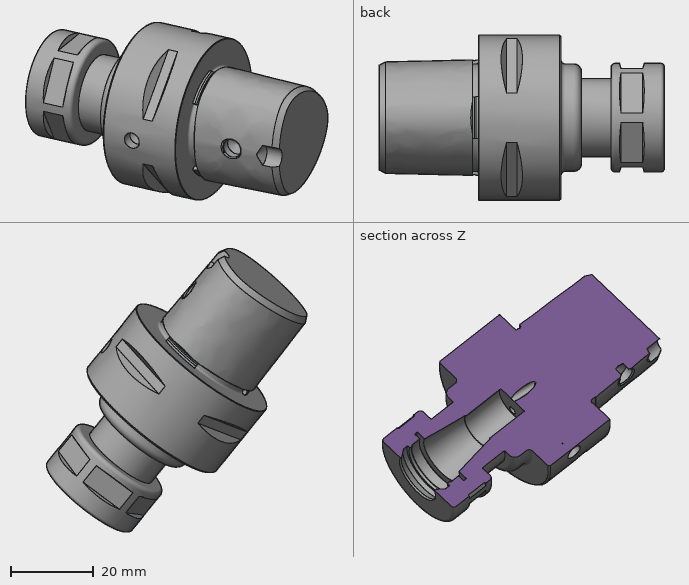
import cadquery as cq
import math

total_length = 69.0
nut_length = 12.9
collar_start = 20.0
flange_start = 25.0
flange_length = 19.95
flange_end = flange_start + flange_length
shank_start = 46.45
shank_chamfer_length = 1.6
shank_chamfer_start = total_length - shank_chamfer_length

nut_radius = 13.2
nut_front_fillet = 0.9
nut_rear_fillet = 1.05
stem_radius = 19.0 / 2
collar_radius = 26.0 / 2
collar_fillet = 1.9
collar_root_fillet = 1.05
flange_radius = 20.0
flange_front_chamfer = 0.4
flange_rear_chamfer = 0.15
relief_radius = 13.05
relief_root_fillet = 0.5

nut_flat_count = 6
nut_flat_first_angle = 0.0
nut_flat_distance = 11.95
nut_flat_center = 7.9
nut_flat_floor = 5.25
nut_flat_mouth = 6.0

flange_groove_count = 4
flange_groove_first_angle = 45.0
flange_groove_distance = 17.7
flange_groove_center = 36.9
flange_groove_floor = 2.5
flange_groove_mouth = 5.2

lobe_count = 3
lobe_height = 0.8
shank_root_radius = 14.0
shank_tip_radius = 13.5
shank_chamfer_depth = 0.8
shank_outline_points = 48
shank_lead_in_radius = 14.4
shank_lead_in_length = 3.45

key_radius = 14.15
key_half_angle = 21.0
key_land_length = 0.6
key_waist_radius = 13.95
key_ramp_length = 0.5

mouth_radius = 13.0 / 2
mouth_land_end = 0.6
mouth_cone_end = 2.35
ring_groove_radius = 15.5 / 2
ring_groove_end = 3.65
ring_lip_radius = 14.0 / 2
ring_lip_end = 4.55
nut_bore_radius = 14.5 / 2
nut_bore_end = 7.2
seat_recess_radius = 18.0 / 2
collet_seat_start = 7.95
collet_seat_angle = 8.0
collet_seat_end_radius = 4.8
deep_bore_radius = 9.3 / 2
deep_bore_end = 31.05

coolant_diameter = 2.0
coolant_offset = 3.0
coolant_angle = 15.0

drill_point_angle = 118.0
dimple_center = 33.05
dimple_diameter = 4.0
dimple_depth = 2.75
shank_hole_center = 56.5
shank_hole_diameter = 4.6
shank_hole_mouth_diameter = 5.5
shank_hole_depth = 2.75
notch_diameter = 5.3
notch_start = 64.85
notch_axis_offset = 13.0

cutter_overrun = 0.7


def spin(profile):
    """Revolve a closed profile of (x, radius) points about the X axis."""
    return profile.close().revolve(360, (0, 0, 0), (1, 0, 0))


def drill(start, direction, diameter, depth):
    """Cylindrical cutter with a pointed end, depth measured to the full-width end."""
    radius = diameter / 2
    point = radius / math.tan(math.radians(drill_point_angle / 2))
    cutter = (
        cq.Workplane("XZ")
        .polyline([(0, 0), (radius, 0), (radius, depth), (0, depth + point)])
        .close()
        .revolve(360, (0, 0, 0), (0, 1, 0))
    )
    plane = cq.Plane(origin=start, normal=direction)
    return cq.Workplane(cutter.val().moved(cq.Location(plane)))


def quarter_arc(profile, center, radius, x_side, radial_side, end):
    """Add a quarter arc bulging to the given sides of its center."""
    reach = radius * math.sqrt(0.5)
    middle = (center[0] + x_side * reach, center[1] + radial_side * reach)
    return profile.threePointArc(middle, end)


def turned_body():
    """Nut, stem, collar, flange and relief as one turned solid."""
    nut_front_center = (nut_front_fillet, nut_radius - nut_front_fillet)
    nut_rear_center = (nut_length - nut_rear_fillet, nut_radius - nut_rear_fillet)
    collar_center = (collar_start + collar_fillet, collar_radius - collar_fillet)
    collar_root_center = (flange_start - collar_root_fillet, collar_radius + collar_root_fillet)
    relief_root_center = (flange_end + relief_root_fillet, relief_radius + relief_root_fillet)

    profile = cq.Workplane("XY").lineTo(0, nut_front_center[1])
    profile = quarter_arc(
        profile, nut_front_center, nut_front_fillet, -1, 1, (nut_front_center[0], nut_radius)
    )
    profile = profile.lineTo(nut_rear_center[0], nut_radius)
    profile = quarter_arc(
        profile, nut_rear_center, nut_rear_fillet, 1, 1, (nut_length, nut_rear_center[1])
    )
    profile = (
        profile.lineTo(nut_length, stem_radius)
        .lineTo(collar_start, stem_radius)
        .lineTo(collar_start, collar_center[1])
    )
    profile = quarter_arc(
        profile, collar_center, collar_fillet, -1, 1, (collar_center[0], collar_radius)
    )
    profile = profile.lineTo(collar_root_center[0], collar_radius)
    profile = quarter_arc(
        profile, collar_root_center, collar_root_fillet, 1, -1, (flange_start, collar_root_center[1])
    )
    profile = (
        profile.lineTo(flange_start, flange_radius - flange_front_chamfer)
        .lineTo(flange_start + flange_front_chamfer, flange_radius)
        .lineTo(flange_end - flange_rear_chamfer, flange_radius)
        .lineTo(flange_end, flange_radius - flange_rear_chamfer)
        .lineTo(flange_end, relief_root_center[1])
    )
    profile = quarter_arc(
        profile, relief_root_center, relief_root_fillet, -1, -1, (relief_root_center[0], relief_radius)
    )
    return spin(profile.lineTo(shank_start, relief_radius).lineTo(shank_start, 0))


def groove_ring(count, first_angle, center, distance, floor, mouth, outer_radius):
    """Flat-bottomed cutters with sloped end walls, spaced evenly about the X axis."""
    slope = (mouth - floor) / (outer_radius - distance)
    cutter_top = outer_radius + cutter_overrun
    top_width = floor + slope * (cutter_top - distance)
    section = [
        (center - floor / 2, distance),
        (center + floor / 2, distance),
        (center + top_width / 2, cutter_top),
        (center - top_width / 2, cutter_top),
    ]
    cutter = cq.Workplane("XZ").polyline(section).close().extrude(outer_radius, both=True)
    ring = []
    for index in range(count):
        angle = first_angle + index * 360 / count
        ring.append(cutter.rotate((0, 0, 0), (1, 0, 0), angle))
    return ring


def lobed_wire(x, mean_radius):
    """Closed constant-width outline with one lobe on +Y, in the plane at x."""
    points = []
    for index in range(shank_outline_points):
        angle = 2 * math.pi * index / shank_outline_points
        reach = mean_radius + lobe_height * math.cos(lobe_count * angle)
        slide = -lobe_count * lobe_height * math.sin(lobe_count * angle)
        y = reach * math.cos(angle) - slide * math.sin(angle)
        z = reach * math.sin(angle) + slide * math.cos(angle)
        points.append(cq.Vector(x, y, z))
    return cq.Wire.assembleEdges([cq.Edge.makeSpline(points, periodic=True)])


def shank():
    """Tapered three-lobed shank with a conical lead-in and an end chamfer."""
    root = lobed_wire(shank_start, shank_root_radius)
    tip = lobed_wire(shank_chamfer_start, shank_tip_radius)
    end = lobed_wire(total_length, shank_tip_radius - shank_chamfer_depth)
    taper = cq.Workplane(cq.Solid.makeLoft([root, tip], True))
    chamfer = cq.Workplane(cq.Solid.makeLoft([tip, end], True))
    wide_radius = shank_lead_in_radius + shank_lead_in_length
    envelope = spin(
        cq.Workplane("XY")
        .moveTo(shank_start, 0)
        .lineTo(shank_start, shank_lead_in_radius)
        .lineTo(shank_start + shank_lead_in_length, wide_radius)
        .lineTo(total_length, wide_radius)
        .lineTo(total_length, 0)
    )
    return taper.intersect(envelope).union(chamfer)


def drive_keys():
    """Keys in the relief, one under each lobe, with a shallow waist next to the shank."""
    section = [
        (flange_end, 0),
        (flange_end, key_radius),
        (flange_end + key_land_length, key_radius),
        (shank_start - key_ramp_length, key_waist_radius),
        (shank_start, key_radius),
        (shank_start, 0),
    ]
    key = (
        cq.Workplane("XY")
        .polyline(section)
        .close()
        .revolve(2 * key_half_angle, (0, 0, 0), (1, 0, 0))
        .rotate((0, 0, 0), (1, 0, 0), -key_half_angle)
    )
    keys = key
    for index in range(1, lobe_count):
        keys = keys.union(key.rotate((0, 0, 0), (1, 0, 0), index * 360 / lobe_count))
    return keys


def collet_cavity():
    """Stepped bore: nut mouth with grooves, tapered collet seat, deep bore."""
    seat_length = (mouth_radius - collet_seat_end_radius) / math.tan(math.radians(collet_seat_angle))
    outline = [
        (0, 0),
        (0, mouth_radius),
        (mouth_land_end, mouth_radius),
        (mouth_cone_end, ring_groove_radius),
        (ring_groove_end, ring_groove_radius),
        (ring_groove_end, ring_lip_radius),
        (ring_lip_end, ring_lip_radius),
        (ring_lip_end, nut_bore_radius),
        (nut_bore_end, nut_bore_radius),
        (nut_bore_end, seat_recess_radius),
        (collet_seat_start, seat_recess_radius),
        (collet_seat_start, mouth_radius),
        (collet_seat_start + seat_length, collet_seat_end_radius),
        (collet_seat_start + seat_length, deep_bore_radius),
        (deep_bore_end, deep_bore_radius),
        (deep_bore_end, 0),
    ]
    return spin(cq.Workplane("XY").polyline(outline))


def coolant_holes():
    """Two inclined holes that start in the bore floor and meet on the axis."""
    tilt = math.radians(coolant_angle)
    run = coolant_offset / math.sin(tilt)
    lead = coolant_diameter
    holes = cq.Workplane("XY")
    for side in (1, -1):
        direction = cq.Vector(math.cos(tilt), 0, -side * math.sin(tilt))
        start = cq.Vector(deep_bore_end, 0, side * coolant_offset) - direction * lead
        hole = cq.Solid.makeCylinder(coolant_diameter / 2, run + lead, start, direction)
        holes = holes.union(cq.Workplane(hole))
    return holes


def side_holes():
    """Dimple in the flange, chamfered hole in the shank and notch in its end, all on -Y."""
    inward = (0, 1, 0)
    dimple = drill((dimple_center, -flange_radius, 0), inward, dimple_diameter, dimple_depth)

    tip_y = -(shank_tip_radius - lobe_height)
    root_y = -(shank_root_radius - lobe_height)
    fraction = (shank_hole_center - shank_start) / (shank_chamfer_start - shank_start)
    surface_y = root_y + fraction * (tip_y - root_y)
    hole_start = (shank_hole_center, root_y, 0)
    shank_hole = drill(hole_start, inward, shank_hole_diameter, shank_hole_depth)
    countersink_radius = shank_hole_mouth_diameter / 2
    countersink = cq.Solid.makeCone(
        countersink_radius,
        0,
        countersink_radius,
        cq.Vector(shank_hole_center, surface_y, 0),
        cq.Vector(inward),
    )

    notch_length = total_length - notch_start
    notch = drill((total_length, -notch_axis_offset, 0), (-1, 0, 0), notch_diameter, notch_length)
    return dimple.union(shank_hole).union(cq.Workplane(countersink)).union(notch)


nut_flats = groove_ring(
    nut_flat_count, nut_flat_first_angle, nut_flat_center, nut_flat_distance,
    nut_flat_floor, nut_flat_mouth, nut_radius,
)
flange_grooves = groove_ring(
    flange_groove_count, flange_groove_first_angle, flange_groove_center, flange_groove_distance,
    flange_groove_floor, flange_groove_mouth, flange_radius,
)

body = turned_body()
for cutter in nut_flats + flange_grooves:
    body = body.cut(cutter)
body = body.union(drive_keys()).union(shank())
result = body.cut(collet_cavity()).cut(coolant_holes()).cut(side_holes())